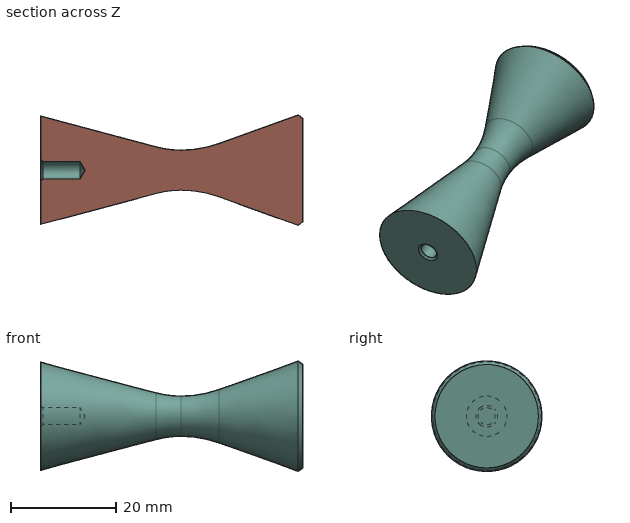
import cadquery as cq
import math

length = 49.95
small_end_radius = 10.35
large_end_radius = 10.55
neck_radius = 3.85
neck_x = 26.8

bevel_length = 0.9
bevel_depth = 0.7
rim_x = length - bevel_length

left_knee_x = 24.35
right_knee_x = 30.5

hole_diameter = 3.25
hole_depth = 7.5
drill_tip_angle = 118.0
countersink_diameter = 4.1


def flank_tangent_point(end_x, end_radius, knee_x):
    """Point on a flank as far from its knee as the neck is, so one arc joins both tangentially."""
    run = end_x - knee_x
    rise = end_radius - neck_radius
    share = abs(neck_x - knee_x) / math.hypot(run, rise)
    return (knee_x + share * run, neck_radius + share * rise)


def make_body():
    left_tangent = flank_tangent_point(0, small_end_radius, left_knee_x)
    right_tangent = flank_tangent_point(rim_x, large_end_radius, right_knee_x)
    profile = (
        cq.Workplane("XY")
        .lineTo(0, small_end_radius)
        .lineTo(*left_tangent)
        .tangentArcPoint((neck_x, neck_radius), relative=False)
        .tangentArcPoint(right_tangent, relative=False)
        .lineTo(rim_x, large_end_radius)
        .lineTo(length, large_end_radius - bevel_depth)
        .lineTo(length, 0)
        .close()
    )
    return profile.revolve(360, (0, 0, 0), (1, 0, 0))


def make_hole():
    hole_radius = hole_diameter / 2
    countersink_radius = countersink_diameter / 2
    countersink_depth = countersink_radius - hole_radius
    tip_length = hole_radius / math.tan(math.radians(drill_tip_angle / 2))
    profile = (
        cq.Workplane("XY")
        .lineTo(0, countersink_radius)
        .lineTo(countersink_depth, hole_radius)
        .lineTo(hole_depth, hole_radius)
        .lineTo(hole_depth + tip_length, 0)
        .close()
    )
    return profile.revolve(360, (0, 0, 0), (1, 0, 0))


result = make_body().cut(make_hole())